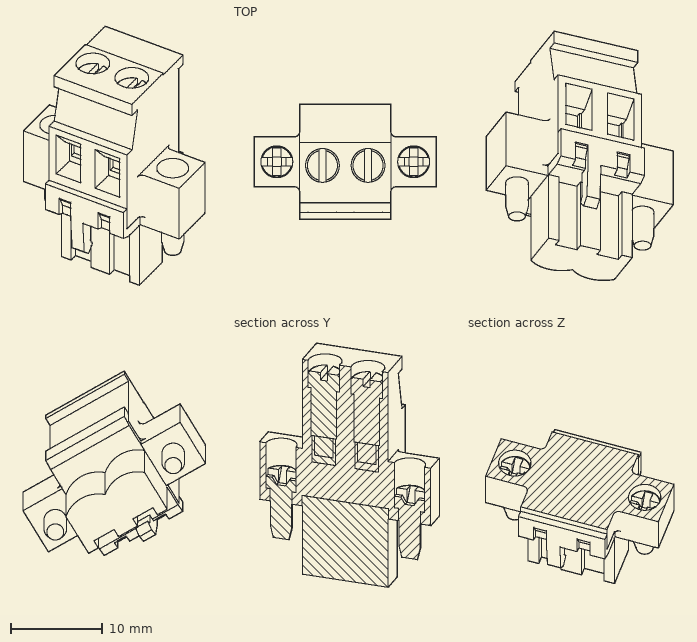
import cadquery as cq
import math


pitch = 5.0
pole_xs = [-pitch / 2, pitch / 2]
block_length = 2 * pitch
half_length = block_length / 2
flange_xs = [-7.5, 7.5]
base_z = 8.25
seat_z = 9.5

top_z = 26.0
rear_top_z = 25.75
lip_z = 24.45
ledge_z = 19.7
top_step_y = 2.1
front_lip_y = -4.5
slope_top_y = -3.3
slope_foot_y = -4.45
rear_lip_y = 6.325
front_y = -5.55
rear_y = 5.4

flange_end_x = 10.0
flange_width = 5.5
flange_top_z = 15.25
flange_fillet = 0.6

entry_width = 3.15
entry_bottom_z = 13.5
entry_top_z = 18.85
entry_taper_depth = 1.5
chamber_width = 2.65
chamber_bottom_z = 13.8
chamber_top_z = 17.0
cage_front_y = -3.15
chamber_rear_y = 2.35

cage_floor_z = 14.6
cage_window_width = 2.2
contact_setback = 0.6

clamp_screw_y = -0.4
clamp_head_diameter = 3.7
clamp_head_chamfer = 0.2
clamp_head_top_z = 24.75
clamp_head_height = 2.0
clamp_shank_diameter = 3.0
clamp_slot_width = 0.75
clamp_slot_depth = 0.9

flange_head_diameter = 3.5
flange_head_chamfer = 0.1
flange_head_top_z = 12.0
flange_head_height = 2.2
flange_shank_diameter = 2.5
flange_shank_tip_diameter = 1.85
flange_shank_tip_z = 3.9
flange_shank_taper_z = 5.25
cross_width = 0.9
cross_length = 3.0
cross_depth = 1.6
cross_floor_length = 1.0
flange_slot_depth = 0.8

tray_half_width = 6.325
tray_rim_z = 12.25
tray_chamfer_height = 0.45
tray_chamfer_run = 1.05
plug_front_y = -2.95
plug_rear_y = 2.9
plug_crown_height = 0.95
key_slot_inner_x = 1.2
key_slot_outer_x = 3.75
key_slot_depth = 0.95
notch_width = 1.5
notch_top_z = 10.95
notch_slope_z = 10.6
notch_upper_depth = 0.25
latch_left_x = -1.75
latch_width = 1.55
latch_inner_y = -4.7
latch_hook_root_z = 5.3
latch_hook_y = -4.25
latch_hook_z = 4.6
latch_tip_y = -5.1
latch_tip_z = 3.75
latch_outer_y = -6.0
latch_outer_z = 4.5


def box(x0, x1, y0, y1, z0, z1):
    """Box between two opposite corners."""
    return cq.Workplane("XY").box(x1 - x0, y1 - y0, z1 - z0, centered=False).translate((x0, y0, z0))


def cylinder(x, y, diameter, z0, z1):
    """Upright cylinder from z0 up to z1."""
    return cq.Workplane("XY", origin=(x, y, z0)).circle(diameter / 2).extrude(z1 - z0)


def side_prism(points, x0, x1):
    """Closed (Y, Z) outline extruded from x0 to x1."""
    return cq.Workplane("YZ", origin=(x0, 0, 0)).polyline(points).close().extrude(x1 - x0)


def make_flange(side):
    """Screw ear with concave fillets against the housing side; side is -1 or +1."""
    half_width = flange_width / 2
    ear = box(half_length, flange_end_x, -half_width, half_width, base_z, flange_top_z)
    for y_sign in (-1, 1):
        root_y = y_sign * half_width
        outer_y = root_y + y_sign * flange_fillet
        bend = flange_fillet * (1 - math.sqrt(0.5))
        fillet = (
            cq.Workplane("XY", origin=(0, 0, seat_z))
            .moveTo(half_length, root_y)
            .lineTo(half_length + flange_fillet, root_y)
            .threePointArc((half_length + bend, root_y + y_sign * bend), (half_length, outer_y))
            .close()
            .extrude(flange_top_z - seat_z)
        )
        ear = ear.union(fillet)
    return ear if side > 0 else ear.mirror("YZ")


def chamber_block(x, width, block_front_y, bottom_z):
    """Block that ends at the chamber's rear wall and roof."""
    return box(x - width / 2, x + width / 2, block_front_y, chamber_rear_y, bottom_z, chamber_top_z)


def make_wire_entry(x):
    """Tapered funnel in the front face followed by the straight contact chamber."""
    taper_end_y = front_y + entry_taper_depth
    mouth_z = (entry_bottom_z + entry_top_z) / 2
    throat_z = (chamber_bottom_z + chamber_top_z) / 2
    funnel = (
        cq.Workplane("XZ", origin=(x, front_y, 0))
        .center(0, mouth_z)
        .rect(entry_width, entry_top_z - entry_bottom_z)
        .workplane(offset=-entry_taper_depth)
        .center(0, throat_z - mouth_z)
        .rect(chamber_width, chamber_top_z - chamber_bottom_z)
        .loft(ruled=True)
    )
    return funnel.union(chamber_block(x, chamber_width, taper_end_y, chamber_bottom_z))


def make_housing():
    profile = [
        (front_y, seat_z),
        (front_y, ledge_z),
        (slope_foot_y, ledge_z),
        (slope_top_y, lip_z),
        (front_lip_y, lip_z),
        (front_lip_y, top_z),
        (top_step_y, top_z),
        (top_step_y, rear_top_z),
        (rear_lip_y, rear_top_z),
        (rear_lip_y, lip_z),
        (rear_y, lip_z),
        (rear_y, seat_z),
    ]
    body = side_prism(profile, -half_length, half_length)
    for x in flange_xs:
        body = body.union(make_flange(math.copysign(1, x)))
        body = body.cut(cylinder(x, 0, flange_shank_diameter, base_z, flange_top_z))
        head_seat_z = flange_head_top_z - flange_head_height
        body = body.cut(cylinder(x, 0, flange_head_diameter, head_seat_z, flange_top_z))
    for x in pole_xs:
        body = body.cut(make_wire_entry(x))
        head_seat_z = clamp_head_top_z - clamp_head_height
        body = body.cut(cylinder(x, clamp_screw_y, clamp_head_diameter, head_seat_z, top_z))
        body = body.cut(cylinder(x, clamp_screw_y, clamp_shank_diameter, chamber_top_z, head_seat_z))
    return body


def make_plug():
    """Plug with a rounded crown behind each pole and a key slot in front of each pole."""
    crown_root_y = plug_rear_y - plug_crown_height
    outline = (
        cq.Workplane("XY")
        .moveTo(-half_length, plug_front_y)
        .lineTo(half_length, plug_front_y)
        .lineTo(half_length, crown_root_y)
    )
    for x in reversed(pole_xs):
        outline = outline.threePointArc((x, plug_rear_y), (x - pitch / 2, crown_root_y))
    plug = outline.close().extrude(base_z)
    for x0, x1 in ((-key_slot_outer_x, -key_slot_inner_x), (key_slot_inner_x, key_slot_outer_x)):
        plug = plug.cut(box(x0, x1, plug_front_y, plug_front_y + key_slot_depth, 0, base_z))
    return plug


def make_tray():
    """Floor with front and rear rims, chamfered below and notched in front of each pole."""
    chamfer_z = base_z + tray_chamfer_height
    flat_y = tray_half_width - tray_chamfer_run
    profile = [
        (-flat_y, base_z),
        (flat_y, base_z),
        (tray_half_width, chamfer_z),
        (tray_half_width, tray_rim_z),
        (rear_y, tray_rim_z),
        (rear_y, seat_z),
        (front_y, seat_z),
        (front_y, tray_rim_z),
        (-tray_half_width, tray_rim_z),
        (-tray_half_width, chamfer_z),
    ]
    tray = side_prism(profile, -half_length, half_length)
    notch_upper_y = -tray_half_width + notch_upper_depth
    notch = [
        (-tray_half_width, base_z),
        (front_y, base_z),
        (front_y, seat_z),
        (notch_upper_y, notch_slope_z),
        (notch_upper_y, notch_top_z),
        (-tray_half_width, notch_top_z),
    ]
    for x in pole_xs:
        tray = tray.cut(side_prism(notch, x - notch_width / 2, x + notch_width / 2))
    return tray


def make_latch():
    """Hooked snap arm hanging from the front edge of the tray."""
    profile = [
        (latch_inner_y, seat_z),
        (latch_inner_y, latch_hook_root_z),
        (latch_hook_y, latch_hook_z),
        (latch_tip_y, latch_tip_z),
        (latch_outer_y, latch_outer_z),
        (-tray_half_width, base_z + tray_chamfer_height),
    ]
    return side_prism(profile, latch_left_x, latch_left_x + latch_width)


def make_base():
    return make_tray().union(make_plug()).union(make_latch())


def make_wire_clamp(x):
    """Open-topped cage around the wire space, with a floor and two side walls."""
    cage = chamber_block(x, chamber_width, cage_front_y, chamber_bottom_z)
    return cage.cut(chamber_block(x, cage_window_width, cage_front_y, cage_floor_z))


def make_contact(x):
    """Contact block inside the cage, set back from the cage's front face."""
    return chamber_block(x, cage_window_width, cage_front_y + contact_setback, cage_floor_z)


def make_clamp_screw(x):
    """Slotted screw reaching down to the contact."""
    head_bottom_z = clamp_head_top_z - clamp_head_height
    head = cylinder(x, clamp_screw_y, clamp_head_diameter, head_bottom_z, clamp_head_top_z)
    head = head.faces(">Z").chamfer(clamp_head_chamfer)
    slot = (
        cq.Workplane("XY", origin=(x, clamp_screw_y, clamp_head_top_z))
        .rect(clamp_slot_width, clamp_head_diameter)
        .extrude(-clamp_slot_depth)
    )
    shank = cylinder(x, clamp_screw_y, clamp_shank_diameter, chamber_top_z, head_bottom_z)
    return head.cut(slot).union(shank)


def make_cross_recess(x):
    """Cross recess with sloping ends, combined with a straight slot along X."""
    half_top = cross_length / 2
    half_floor = cross_floor_length / 2
    floor_z = flange_head_top_z - cross_depth
    profile = [
        (-half_top, flange_head_top_z),
        (-half_floor, floor_z),
        (half_floor, floor_z),
        (half_top, flange_head_top_z),
    ]
    arm = side_prism(profile, -cross_width / 2, cross_width / 2)
    slot = (
        cq.Workplane("XY", origin=(0, 0, flange_head_top_z))
        .rect(flange_head_diameter, cross_width)
        .extrude(-flange_slot_depth)
    )
    recess = arm.union(arm.rotate((0, 0, 0), (0, 0, 1), 90)).union(slot)
    return recess.translate((x, 0, 0))


def make_flange_screw(x):
    """Screw with a combined recess and a tapered lead-in tip."""
    head_bottom_z = flange_head_top_z - flange_head_height
    head = cylinder(x, 0, flange_head_diameter, head_bottom_z, flange_head_top_z)
    head = head.faces(">Z").chamfer(flange_head_chamfer)
    shank = cylinder(x, 0, flange_shank_diameter, flange_shank_taper_z, head_bottom_z)
    tip = (
        cq.Workplane("XY", origin=(x, 0, flange_shank_tip_z))
        .circle(flange_shank_tip_diameter / 2)
        .workplane(offset=flange_shank_taper_z - flange_shank_tip_z)
        .circle(flange_shank_diameter / 2)
        .loft()
    )
    return head.cut(make_cross_recess(x)).union(shank).union(tip)


housing = make_housing()
base = make_base()
contacts = [make_contact(x).val() for x in pole_xs]
wire_clamps = [make_wire_clamp(x).val() for x in pole_xs]
clamp_screws = [make_clamp_screw(x).val() for x in pole_xs]
flange_screws = [make_flange_screw(x).val() for x in flange_xs]

result = cq.Compound.makeCompound(
    [housing.val(), base.val(), *contacts, *wire_clamps, *clamp_screws, *flange_screws]
)